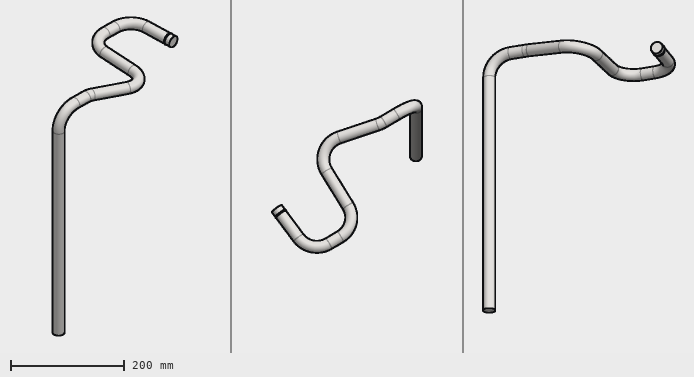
import cadquery as cq
import math

overall_height = 496.0
rod_diameter = 22.0
rod_radius = rod_diameter / 2
bend_radius = 40.0

post_top = overall_height - rod_radius
arm_drop = 20.5
arm_level = post_top - arm_drop
slope_start_y = 72.5
slope_end_x = 31.0
cross_run_y = 196.0
return_x = -133.5

tip_x = -32.5
tip_y = 305.5
tip_angle = math.radians(5)
return_corner_y = tip_y - (tip_x - return_x) * math.tan(tip_angle)

ring_diameter = 23.0
ring_width = 2.0
ring_to_tip = 10.5

corners = [
    cq.Vector(0, 0, 0),
    cq.Vector(0, 0, post_top),
    cq.Vector(0, slope_start_y, post_top),
    cq.Vector(slope_end_x, cross_run_y, arm_level),
    cq.Vector(return_x, cross_run_y, arm_level),
    cq.Vector(return_x, return_corner_y, arm_level),
    cq.Vector(tip_x, tip_y, arm_level),
]


def bend_at(before, corner, after):
    """Start, middle and end points of the arc that rounds a corner."""
    back = (before - corner).normalized()
    ahead = (after - corner).normalized()
    half_angle = back.getAngle(ahead) / 2
    setback = bend_radius / math.tan(half_angle)
    middle_distance = bend_radius / math.sin(half_angle) - bend_radius
    middle = corner + (back + ahead).normalized() * middle_distance
    return corner + back * setback, middle, corner + ahead * setback


def rounded_centreline(points):
    """Wire of straight runs joined by tangent bends."""
    edges = []
    run_start = points[0]
    for before, corner, after in zip(points, points[1:], points[2:]):
        bend_start, bend_middle, bend_end = bend_at(before, corner, after)
        edges.append(cq.Edge.makeLine(run_start, bend_start))
        edges.append(cq.Edge.makeThreePointArc(bend_start, bend_middle, bend_end))
        run_start = bend_end
    edges.append(cq.Edge.makeLine(run_start, points[-1]))
    return cq.Wire.assembleEdges(edges)


def tip_ring():
    """Disc around the rod just behind the tip."""
    inward = (corners[-2] - corners[-1]).normalized()
    ring_start = corners[-1] + inward * ring_to_tip
    return (
        cq.Workplane(cq.Plane(ring_start, normal=inward))
        .circle(ring_diameter / 2)
        .extrude(ring_width)
    )


rod = cq.Workplane("XY").circle(rod_radius).sweep(cq.Workplane(rounded_centreline(corners)))
result = rod.union(tip_ring())